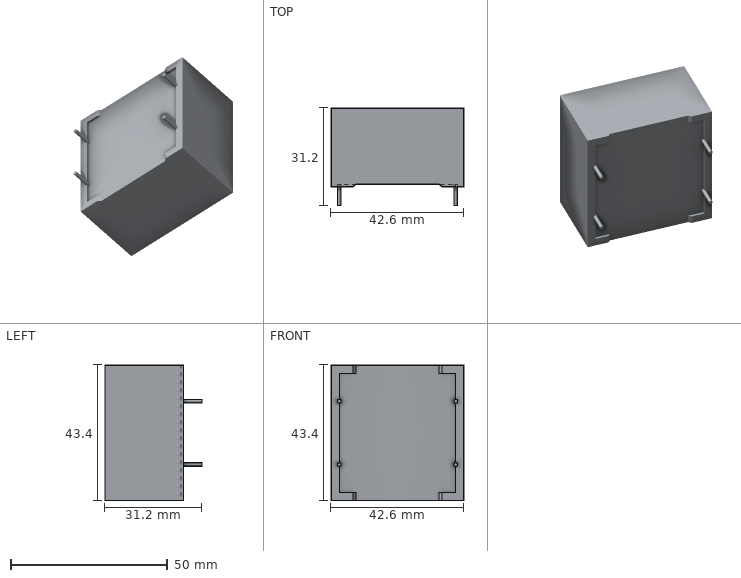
import cadquery as cq

WIDTH = 42.6
HEIGHT = 43.4
TOTAL_DEPTH = 31.2
PIN_PROJECTION = 6.0
HOUSING_DEPTH = TOTAL_DEPTH - PIN_PROJECTION

RIM = 2.65
RECESS_DEPTH = 0.8
FOOT_LENGTH = 7.0
RAMP_RUN = 0.95

PIN_DIAMETER = 1.2
PIN_SPACING_X = WIDTH - 2 * RIM
PIN_SPACING_Z = 20.27
PIN_LENGTH = PIN_PROJECTION + RECESS_DEPTH


def make_pin(x, z):
    """Round pin standing on the recess floor and pointing to -Y."""
    return (
        cq.Workplane("XZ", origin=(x, RECESS_DEPTH, z))
        .circle(PIN_DIAMETER / 2)
        .extrude(PIN_LENGTH)
    )


def make_base_recess():
    """Rectangular pocket between the rims."""
    return cq.Workplane("XY").box(
        WIDTH - 2 * RIM, RECESS_DEPTH, HEIGHT - 2 * RIM, centered=(True, False, True)
    )


def make_rim_opening():
    """Full-height channel with sloping ends that separates the corner feet."""
    rim_half = WIDTH / 2 - FOOT_LENGTH
    floor_half = rim_half - RAMP_RUN
    return (
        cq.Workplane("XY")
        .polyline([
            (-rim_half, 0),
            (rim_half, 0),
            (floor_half, RECESS_DEPTH),
            (-floor_half, RECESS_DEPTH),
        ])
        .close()
        .extrude(HEIGHT / 2, both=True)
    )


def make_housing(integral_pin, separate_pins):
    """Block with a recessed base, one integral pin and half-round notches for the other pins."""
    block = cq.Workplane("XY").box(WIDTH, HOUSING_DEPTH, HEIGHT, centered=(True, False, True))
    body = block.cut(make_base_recess()).cut(make_rim_opening())
    for pin in separate_pins:
        body = body.cut(pin)
    return body.union(integral_pin)


pin_places = [
    (side_x * PIN_SPACING_X / 2, side_z * PIN_SPACING_Z / 2)
    for side_x in (-1, 1)
    for side_z in (-1, 1)
]
integral_pin, *pins = [make_pin(x, z) for x, z in pin_places]
housing = make_housing(integral_pin, pins)

result = cq.Compound.makeCompound([housing.val(), *[pin.val() for pin in pins]])